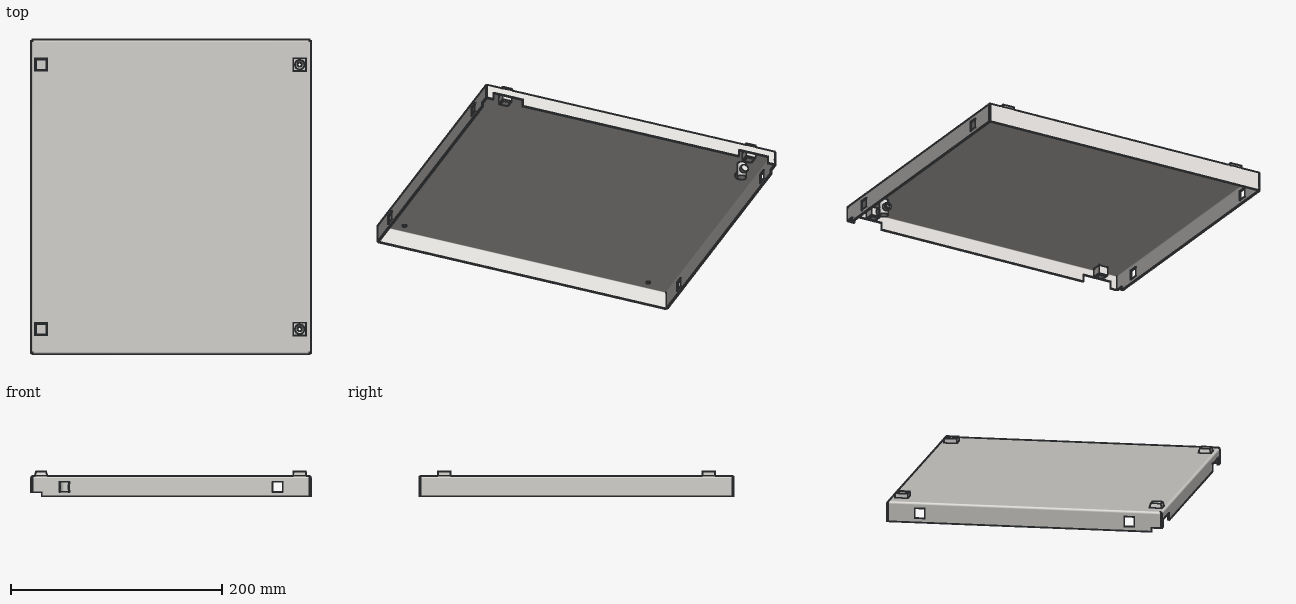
import cadquery as cq

length_x = 265.0
length_y = 298.0
total_height = 23.5
tray_height = 19.5
sheet = 1.5
bend_radius = 2.24
corner_gap = 1.2

raised_edge = 4.0
end_notch_width = 10.0
wall_notch_width = 30.0
wall_notch_inset = 23.0
wall_notch_top = 11.0

window_size = 9.5
window_bottom = 4.2
window_inset = 31.5

support_inset_y = 23.8
support_height = total_height - tray_height
plate_underside = tray_height - sheet

foot_inset_x = 9.5
foot_base = 12.0
foot_crown = 9.5
foot_stem = 9.5
foot_tip = 7.2
foot_tip_bottom = 8.3
foot_tip_length = (foot_stem - foot_tip) / 2

block_inset_x = 10.7
block_base = 12.5
block_crown = 12.0
sink_diameter = 9.0
sink_angle = 70
bore_diameter = 4.0

pillar_x = window_inset
pillar_y = 22.0
pillar_diameter = 8.3
pillar_bottom = 2.7
bolt_z = 9.0
bolt_head_diameter = 7.2
bolt_head_length = 3.5
bolt_shank_diameter = 3.5
nut_length = 3.5

block_x = length_x - block_inset_x
support_positions_y = (support_inset_y, length_y - support_inset_y)


def box(x0, x1, y0, y1, z0, z1):
    return cq.Workplane("XY").box(x1 - x0, y1 - y0, z1 - z0, centered=False).translate((x0, y0, z0))


def frustum(x, y, z, size, end_size, height):
    """A square prism that changes from size to end_size over its height."""
    base = cq.Workplane("XY", origin=(x, y, z)).rect(size, size)
    return base.workplane(offset=height).rect(end_size, end_size).loft(ruled=True)


def cylinder_z(x, y, z, diameter, height):
    return cq.Workplane("XY", origin=(x, y, z)).circle(diameter / 2).extrude(height)


def terminal_cylinder_x(x, diameter, length):
    """A cylinder on the cross bolt's axis, running towards +X."""
    return cq.Workplane("YZ", origin=(x, pillar_y, bolt_z)).circle(diameter / 2).extrude(length)


def make_shell():
    shell = box(0, length_x, 0, length_y, 0, tray_height).edges(">Z").fillet(bend_radius)
    inside = box(sheet, length_x - sheet, sheet, length_y - sheet, 0, plate_underside)
    return shell.cut(inside.edges(">Z").fillet(bend_radius - sheet))


def corner_cuts():
    """Open corners between neighbouring walls."""
    cuts = cq.Workplane("XY")
    for x in (0, length_x - corner_gap):
        for y in (0, length_y - corner_gap):
            cuts = cuts.add(box(x, x + corner_gap, y, y + corner_gap, 0, tray_height))
    return cuts.combine()


def edge_cuts():
    """Raised lower edge along the -X side, and the notches of the -X wall."""
    cuts = box(0, end_notch_width, 0, length_y, 0, raised_edge)
    half = wall_notch_width / 2
    for y in (wall_notch_inset, length_y - wall_notch_inset):
        cuts = cuts.union(box(0, sheet, y - half, y + half, 0, wall_notch_top))
    return cuts


def window_cuts():
    """Each cut opens a window in the front wall and its twin in the back wall."""
    half = window_size / 2
    cuts = cq.Workplane("XY")
    for x in (window_inset, length_x - window_inset):
        cuts = cuts.add(box(x - half, x + half, 0, length_y, window_bottom, window_bottom + window_size))
    return cuts.combine()


def support_holes():
    """Square holes for the foot stems and round holes under the blocks."""
    cuts = cq.Workplane("XY")
    for y in support_positions_y:
        cuts = cuts.add(frustum(foot_inset_x, y, plate_underside, foot_stem, foot_stem, sheet))
        cuts = cuts.add(cylinder_z(block_x, y, plate_underside, bore_diameter, sheet))
    return cuts.combine()


def make_tray():
    tray = make_shell()
    for cuts in (corner_cuts(), edge_cuts(), window_cuts(), support_holes()):
        tray = tray.cut(cuts)
    return tray


def make_foot(y):
    tip_top = foot_tip_bottom + foot_tip_length
    crown = frustum(foot_inset_x, y, tray_height, foot_base, foot_crown, support_height)
    stem = frustum(foot_inset_x, y, tip_top, foot_stem, foot_stem, tray_height - tip_top)
    tip = frustum(foot_inset_x, y, foot_tip_bottom, foot_tip, foot_stem, foot_tip_length)
    return crown.union(stem).union(tip)


def make_block(y):
    block = frustum(block_x, y, tray_height, block_base, block_crown, support_height)
    return block.faces(">Z").workplane().cskHole(bore_diameter, sink_diameter, sink_angle)


def make_pillar():
    pillar = cylinder_z(pillar_x, pillar_y, pillar_bottom, pillar_diameter, plate_underside - pillar_bottom)
    bore_start = pillar_x - pillar_diameter / 2
    return pillar.cut(terminal_cylinder_x(bore_start, bolt_shank_diameter, pillar_diameter))


def make_bolt():
    head_face = pillar_x - pillar_diameter / 2
    head = terminal_cylinder_x(head_face - bolt_head_length, bolt_head_diameter, bolt_head_length)
    shank = terminal_cylinder_x(head_face, bolt_shank_diameter, pillar_diameter + nut_length)
    return head.union(shank)


def make_nut():
    nut_face = pillar_x + pillar_diameter / 2
    nut = terminal_cylinder_x(nut_face, bolt_head_diameter, nut_length)
    return nut.cut(terminal_cylinder_x(nut_face, bolt_shank_diameter, nut_length))


tray = make_tray()
feet = [make_foot(y) for y in support_positions_y]
blocks = [make_block(y) for y in support_positions_y]
pillar = make_pillar()
bolt = make_bolt()
nut = make_nut()

bodies = [tray, *feet, *blocks, pillar, bolt, nut]
result = cq.Compound.makeCompound([body.val() for body in bodies])